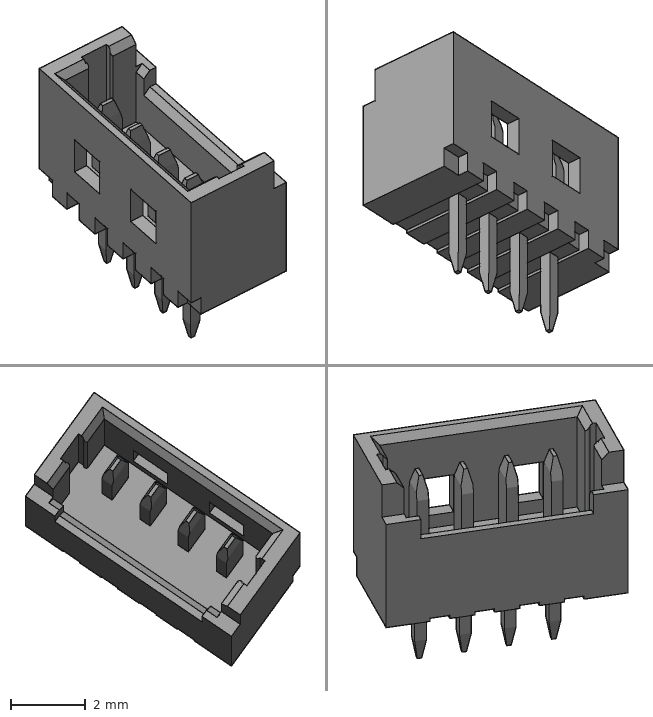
import cadquery as cq

width = 6.75
depth = 3.2
height = 4.2

floor_z = 1.2
cavity_half_width = 2.755
front_wall = 0.405
back_wall = 0.41
mouth_chamfer = 0.2

shoulder_drop = 1.0
shoulder_z = height - shoulder_drop
opening_width = 4.82
opening_drop = 1.59
opening_z = height - opening_drop

slot_span = 6.11
slot_half_span = slot_span / 2
slot_half_width = 0.42
bead_width = 0.135
bead_rise = 0.04

window_width = 1.115
window_sill_z = 1.6
window_height = 1.155

corner_notch_width = 0.59
corner_notch_depth = 0.325
notch_height = 0.59
pin_notch_width = 0.55
channel_height = 0.095

pin_count = 4
pin_pitch = 1.25
pin_size = 0.33
pin_y = 1.15
blade_depth = 0.77
blade_recess = 0.75
blade_top_z = height - blade_recess
blade_front_taper = 0.675
blade_side_taper = 0.43
blade_tip_width = 0.11
blade_tip_depth = 0.385
tail_length = 2.3
tail_tip_height = 0.61
tail_tip_size = 0.12

cavity_back_y = depth - back_wall
cavity_depth = cavity_back_y - front_wall
cavity_mid_y = front_wall + cavity_depth / 2
pin_positions = [(i - (pin_count - 1) / 2) * pin_pitch for i in range(pin_count)]


def block(x_size, y_min, y_max, z_min, z_max, x=0.0):
    """Box centred on x, between the given Y and Z limits."""
    box = cq.Workplane("XY").box(x_size, y_max - y_min, z_max - z_min, centered=(True, False, False))
    return box.translate((x, y_min, z_min))


def tapered(x_size, y_size, z, end_x_size, end_y_size, end_z):
    """Rectangular taper on the Z axis between two heights."""
    base = cq.Workplane("XY").workplane(offset=z).rect(x_size, y_size)
    return base.workplane(offset=end_z - z).rect(end_x_size, end_y_size).loft(combine=True)


def cut_cavity(body):
    """Cavity whose mouth flares on the front and the two end walls."""
    body = body.cut(block(2 * cavity_half_width, front_wall, cavity_back_y, floor_z, height))
    body = body.cut(block(width, cavity_back_y, depth, shoulder_z, height))
    flare = tapered(
        2 * cavity_half_width,
        cavity_depth,
        height - mouth_chamfer,
        2 * (cavity_half_width + mouth_chamfer),
        cavity_depth + 2 * mouth_chamfer,
        height,
    )
    return body.cut(flare.translate((0, cavity_mid_y, 0)).intersect(block(width, 0, cavity_back_y, 0, height)))


def back_edge_cutter(length, top_z):
    """Prism that bevels the inner top edge of the back wall."""
    profile = (
        cq.Workplane("YZ")
        .moveTo(cavity_back_y, top_z)
        .lineTo(cavity_back_y, top_z - mouth_chamfer)
        .lineTo(cavity_back_y + mouth_chamfer, top_z)
        .close()
    )
    return profile.extrude(length / 2, both=True)


def cut_back_wall(body):
    """Opening in the middle, then bevels on the shoulders and on the opening's edge."""
    body = body.cut(block(opening_width, cavity_back_y, depth, opening_z, height))
    body = body.cut(back_edge_cutter(2 * cavity_half_width, shoulder_z))
    return body.cut(back_edge_cutter(opening_width, opening_z))


def cut_key_slots(body):
    """One slot profile across the cavity cuts both end walls."""
    outer = slot_half_span
    inner = cavity_half_width
    half = slot_half_width
    bead_x = inner + bead_width / 2
    neck = half - bead_rise
    profile = (
        cq.Workplane("XY")
        .workplane(offset=floor_z)
        .moveTo(-outer, 0)
        .lineTo(-outer, -half)
        .lineTo(-inner - bead_width, -half)
        .threePointArc((-bead_x, -neck), (-inner, -half))
        .lineTo(inner, -half)
        .threePointArc((bead_x, -neck), (inner + bead_width, -half))
        .lineTo(outer, -half)
        .lineTo(outer, 0)
        .mirrorX()
    )
    return body.cut(profile.extrude(height - floor_z).translate((0, depth / 2, 0)))


def cut_windows(body):
    for x in (-pin_pitch, pin_pitch):
        body = body.cut(block(window_width, 0, front_wall, window_sill_z, window_sill_z + window_height, x))
    return body


def cut_underside(body):
    """Corner and pin notches along the front, with shallow channels running under the pins."""
    corner_x = (width - corner_notch_width) / 2
    for x in (-corner_x, corner_x):
        body = body.cut(block(corner_notch_width, 0, corner_notch_depth, 0, notch_height, x))
    for x in pin_positions:
        body = body.cut(block(pin_notch_width, 0, corner_notch_depth, 0, notch_height, x))
        body = body.cut(block(pin_notch_width, 0, depth, 0, channel_height, x))
    return body


def make_blade():
    """Flat blade with a chisel tip, sloped at the sides and, from lower down, at front and back."""
    side_slopes = tapered(
        pin_size, blade_depth, blade_top_z - blade_side_taper, blade_tip_width, blade_depth, blade_top_z
    )
    front_slopes = tapered(
        pin_size, blade_depth, blade_top_z - blade_front_taper, pin_size, blade_tip_depth, blade_top_z
    )
    shank = block(pin_size, -blade_depth / 2, blade_depth / 2, floor_z, blade_top_z - blade_side_taper)
    flat_shank = block(pin_size, -blade_depth / 2, blade_depth / 2, floor_z, blade_top_z - blade_front_taper)
    return shank.union(side_slopes).intersect(flat_shank.union(front_slopes))


def make_pin(x):
    """Blade in the cavity above a square tail with a tapered tip."""
    tail_shoulder_z = tail_tip_height - tail_length
    tail = block(pin_size, -pin_size / 2, pin_size / 2, tail_shoulder_z, floor_z)
    tail_tip = tapered(pin_size, pin_size, tail_shoulder_z, tail_tip_size, tail_tip_size, -tail_length)
    return tail.union(tail_tip).union(make_blade()).translate((x, pin_y, 0))


result = block(width, 0, depth, 0, height)
result = cut_cavity(result)
result = cut_back_wall(result)
result = cut_key_slots(result)
result = cut_windows(result)
result = cut_underside(result)
for pin_x in pin_positions:
    result = result.union(make_pin(pin_x))